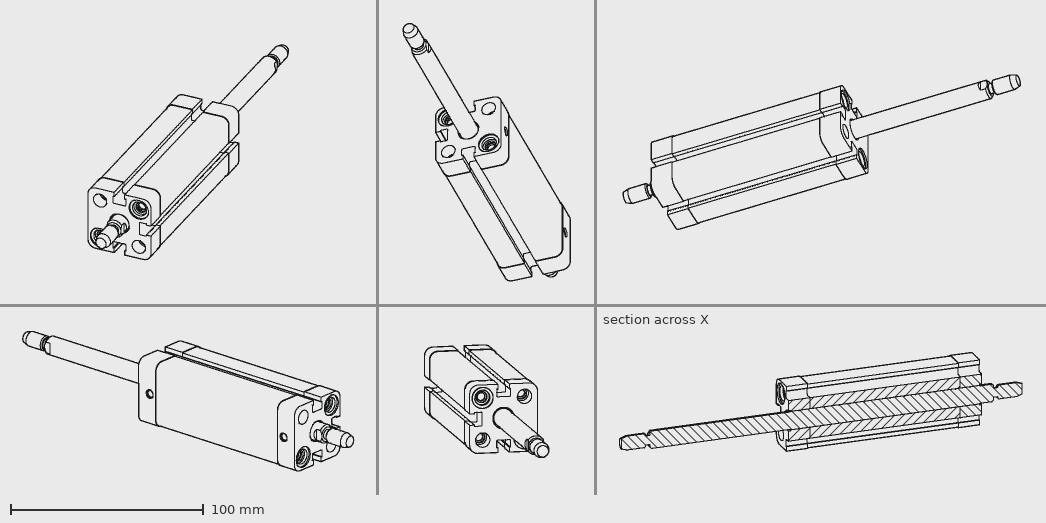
import cadquery as cq
import math


overall_length = 222
housing_length = 107.0
front_rod_length = 22.5
cap_length = 11.8
rear_rod_length = overall_length - housing_length - front_rod_length

cap_width = 36.2
barrel_width = 35.5
cap_end_inset = 0.05
cap_corner_radius = 4.5
barrel_corner_radius = cap_corner_radius - (cap_width - barrel_width) / 2

slot_mouth_width = 6.0
slot_width = 7.3
slot_depth = 6.7
slot_lip = 2.7
slot_floor_radius = 0.7

rod_diameter = 10.0
rod_chamfer = 1.0
thread_diameter = 8.0
thread_tip_diameter = 6.0
thread_tip_length = 3.0
thread_end = 12.9
thread_root_diameter = 6.7
thread_root_chamfer = (thread_diameter - thread_root_diameter) / 2
neck_diameter = 5.3
neck_end = 15.8
flat_width = 8.0
flat_length = 2.7

gland_diameter = 11.3
gland_depth = 1.0

hole_offset = 11
corner_bore_diameter = 7.5
corner_bore_depth = 7.8
corner_step_diameter = 5.8
corner_step_depth = 1.0
corner_core_diameter = 4.2
corner_core_depth = 1.0
counterbore_diameter = 11
counterbore_depth = 0.9
counterbored_bore_diameter = 8.0
counterbored_bore_depth = 1.8

port_distance = 7.5
port_diameter = 4.7
port_mouth_depth = 0.9
port_core_diameter = 3.5
port_core_depth = 4.5


def plane_at(y):
    """XZ plane at the given y whose normal points along +Y."""
    return cq.Workplane(cq.Plane(origin=(0, y, 0), xDir=(1, 0, 0), normal=(0, 1, 0)))


def cylinder_along_y(diameter, start, length, x=0, z=0):
    """Cylinder that starts at y = start and runs toward +Y."""
    solid = cq.Solid.makeCylinder(diameter / 2, length, cq.Vector(x, start, z), cq.Vector(0, 1, 0))
    return cq.Workplane(solid)


def slot_cutter():
    """Undercut slot opening toward +Z, as long as the housing."""
    top = cap_width / 2
    mouth = slot_mouth_width / 2
    side = slot_width / 2
    floor = top - slot_depth
    lip = top - slot_lip
    profile = [
        (-mouth, top), (-mouth, lip), (-side, lip), (-side, floor),
        (side, floor), (side, lip), (mouth, lip), (mouth, top),
    ]
    cutter = cq.Workplane("XZ").polyline(profile).close().extrude(-housing_length)
    return cutter.edges("|Y").edges("<Z").fillet(slot_floor_radius)


def cut_slots(body):
    for angle in (0, 90, 180):
        body = body.cut(slot_cutter().rotate((0, 0, 0), (0, 1, 0), angle))
    return body


def make_barrel():
    length = housing_length - 2 * cap_length
    barrel = plane_at(cap_length).rect(barrel_width, barrel_width).extrude(length)
    barrel = barrel.edges("|Y").fillet(barrel_corner_radius)
    barrel = barrel.cut(cylinder_along_y(rod_diameter, cap_length, length))
    return cut_slots(barrel)


def stepped_hole(steps, x, z):
    """Coaxial bores, each (diameter, depth) starting at the floor of the one before."""
    start = 0
    hole = None
    for diameter, depth in steps:
        bore = cylinder_along_y(diameter, start, depth, x, z)
        hole = bore if hole is None else hole.union(bore)
        start += depth
    return hole


def cut_corner_holes(cap):
    inner_steps = [
        (corner_step_diameter, corner_step_depth),
        (corner_core_diameter, corner_core_depth),
    ]
    plain_steps = [(corner_bore_diameter, corner_bore_depth)] + inner_steps
    counterbored_steps = [
        (counterbore_diameter, counterbore_depth),
        (counterbored_bore_diameter, counterbored_bore_depth),
    ] + inner_steps
    for side in (-1, 1):
        x = side * hole_offset
        cap = cap.cut(stepped_hole(plain_steps, x, -x))
        cap = cap.cut(stepped_hole(counterbored_steps, x, x))
    return cap


def cut_port(cap):
    inward = cq.Vector(1, 0, 0)
    mouth = cq.Vector(-cap_width / 2, port_distance, 0)
    cap = cap.cut(cq.Workplane(cq.Solid.makeCylinder(port_diameter / 2, port_mouth_depth, mouth, inward)))
    core_length = port_mouth_depth + port_core_depth
    return cap.cut(cq.Workplane(cq.Solid.makeCylinder(port_core_diameter / 2, core_length, mouth, inward)))


def make_front_cap():
    """Cap slightly wider than the barrel, drafted down to its outer face at y = 0."""
    draft = math.degrees(math.atan(cap_end_inset / cap_length))
    section = cq.Sketch().rect(cap_width, cap_width).vertices().fillet(cap_corner_radius)
    outward = cq.Workplane(cq.Plane(origin=(0, cap_length, 0), xDir=(1, 0, 0), normal=(0, -1, 0)))
    cap = outward.placeSketch(section).extrude(cap_length, taper=draft)
    cap = cap.cut(cylinder_along_y(rod_diameter, 0, cap_length))
    cap = cap.cut(cylinder_along_y(gland_diameter, 0, gland_depth))
    cap = cut_slots(cap)
    cap = cut_corner_holes(cap)
    return cut_port(cap)


def make_rear_cap():
    return make_front_cap().mirror("XZ", (0, housing_length / 2, 0))


def rod_end_profile():
    """(distance from the tip, radius) points from the tip to the full rod diameter."""
    return [
        (0, thread_tip_diameter / 2),
        (thread_tip_length, thread_diameter / 2),
        (thread_end, thread_diameter / 2),
        (thread_end + thread_root_chamfer, thread_root_diameter / 2),
        (thread_end + thread_root_chamfer, neck_diameter / 2),
        (neck_end, neck_diameter / 2),
        (neck_end, rod_diameter / 2 - rod_chamfer),
        (neck_end + rod_chamfer, rod_diameter / 2),
    ]


def flat_cutters(tip, direction):
    """Pair of wrench flats across X whose inner ends slope outward at 45 degrees."""
    half = flat_width / 2
    outer = rod_diameter / 2
    start = tip + direction * neck_end
    end = start + direction * (rod_chamfer + flat_length)
    slope_end = end + direction * (outer - half)
    cutters = []
    for side in (-1, 1):
        corners = [(side * half, start), (side * outer, start), (side * outer, slope_end), (side * half, end)]
        cutter = cq.Workplane("XY").polyline(corners).close().extrude(rod_diameter / 2, both=True)
        cutters.append(cutter)
    return cutters


def make_rod():
    front_tip = -front_rod_length
    rear_tip = housing_length + rear_rod_length
    front = [(radius, front_tip + distance) for distance, radius in rod_end_profile()]
    rear = [(radius, rear_tip - distance) for distance, radius in reversed(rod_end_profile())]
    profile = [(0, front_tip)] + front + rear + [(0, rear_tip)]
    rod = cq.Workplane("XY").polyline(profile).close().revolve(360, (0, 0, 0), (0, 1, 0))
    for cutter in flat_cutters(front_tip, 1) + flat_cutters(rear_tip, -1):
        rod = rod.cut(cutter)
    return rod


barrel = make_barrel()
front_cap = make_front_cap()
rear_cap = make_rear_cap()
rod = make_rod()

result = cq.Compound.makeCompound([barrel.val(), front_cap.val(), rear_cap.val(), rod.val()])